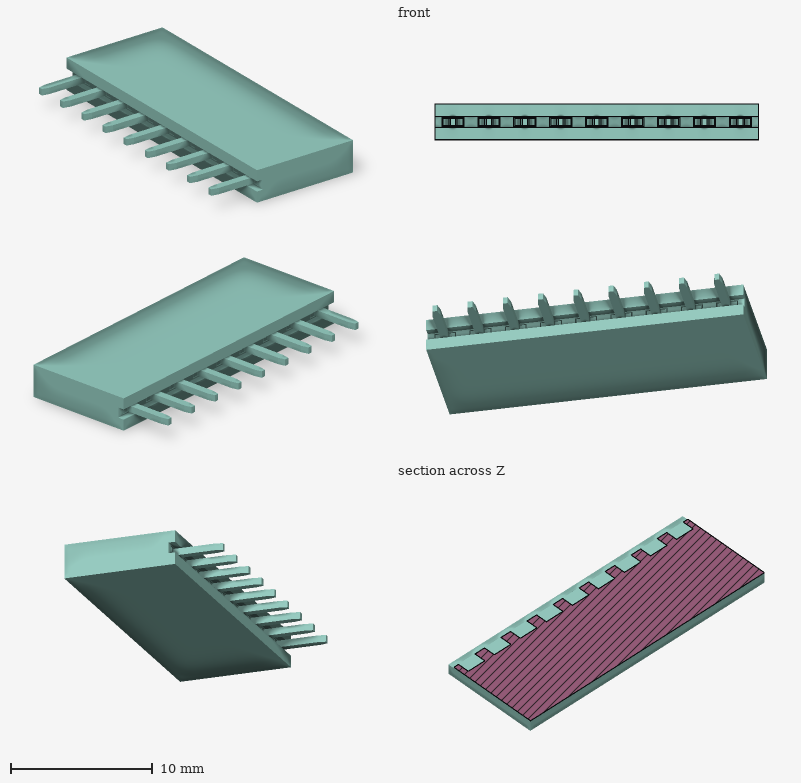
import cadquery as cq
import math

PIN_COUNT = 9
HOUSING_LENGTH = 22.85
HOUSING_DEPTH = 8.4
HOUSING_HEIGHT = 2.54
PIN_PITCH = HOUSING_LENGTH / PIN_COUNT

SLOT_HEIGHT = 0.8
SLOT_DEPTH = 0.5

PIN_THICKNESS = 0.5
BLADE_WIDTH = 0.6
BLADE_PROJECTION = 3.2
TIP_WIDTH = 0.35
TIP_LENGTH = 0.57
BASE_WIDTH = 1.42
ROOT_RADIUS = 0.07

POCKET_WIDTH = 1.58
POCKET_HEIGHT = 0.65
POCKET_DEPTH = 1.0

SLOT_FLOOR_Y = SLOT_DEPTH
POCKET_FLOOR_Y = SLOT_FLOOR_Y + POCKET_DEPTH
BLADE_ROOT_Y = SLOT_FLOOR_Y - ROOT_RADIUS
TIP_END_Y = -BLADE_PROJECTION
TAPER_START_Y = TIP_END_Y + TIP_LENGTH

PIN_POSITIONS = [(i - (PIN_COUNT - 1) / 2) * PIN_PITCH for i in range(PIN_COUNT)]


def box_between(width, height, y_front, y_back, x_center=0.0):
    """Box centred on Z = 0 that runs from y_front to y_back."""
    return (
        cq.Workplane("XY")
        .box(width, y_back - y_front, height)
        .translate((x_center, (y_front + y_back) / 2, 0))
    )


def make_housing():
    """Plain block with a front slot and one pocket per pin."""
    housing = box_between(HOUSING_LENGTH, HOUSING_HEIGHT, 0, HOUSING_DEPTH)
    housing = housing.cut(box_between(HOUSING_LENGTH, SLOT_HEIGHT, 0, SLOT_FLOOR_Y))
    for x in PIN_POSITIONS:
        housing = housing.cut(box_between(POCKET_WIDTH, POCKET_HEIGHT, SLOT_FLOOR_Y, POCKET_FLOOR_Y, x))
    return housing


def make_pin(x_center):
    """Flat pin whose base rests on the pocket floor and ends flush with the slot floor."""
    half_base = BASE_WIDTH / 2
    half_blade = BLADE_WIDTH / 2
    half_tip = TIP_WIDTH / 2
    root_x = half_blade + ROOT_RADIUS
    arc_reach = ROOT_RADIUS * math.sqrt(0.5)
    arc_x = root_x - arc_reach
    arc_y = BLADE_ROOT_Y + arc_reach
    return (
        cq.Workplane("XY")
        .moveTo(-half_base, POCKET_FLOOR_Y)
        .lineTo(half_base, POCKET_FLOOR_Y)
        .lineTo(half_base, SLOT_FLOOR_Y)
        .lineTo(root_x, SLOT_FLOOR_Y)
        .threePointArc((arc_x, arc_y), (half_blade, BLADE_ROOT_Y))
        .lineTo(half_blade, TAPER_START_Y)
        .lineTo(half_tip, TIP_END_Y)
        .lineTo(-half_tip, TIP_END_Y)
        .lineTo(-half_blade, TAPER_START_Y)
        .lineTo(-half_blade, BLADE_ROOT_Y)
        .threePointArc((-arc_x, arc_y), (-root_x, SLOT_FLOOR_Y))
        .lineTo(-half_base, SLOT_FLOOR_Y)
        .close()
        .extrude(PIN_THICKNESS / 2, both=True)
        .translate((x_center, 0, 0))
    )


housing = make_housing()
pins = [make_pin(x) for x in PIN_POSITIONS]

result = cq.Compound.makeCompound([housing.val(), *[pin.val() for pin in pins]])